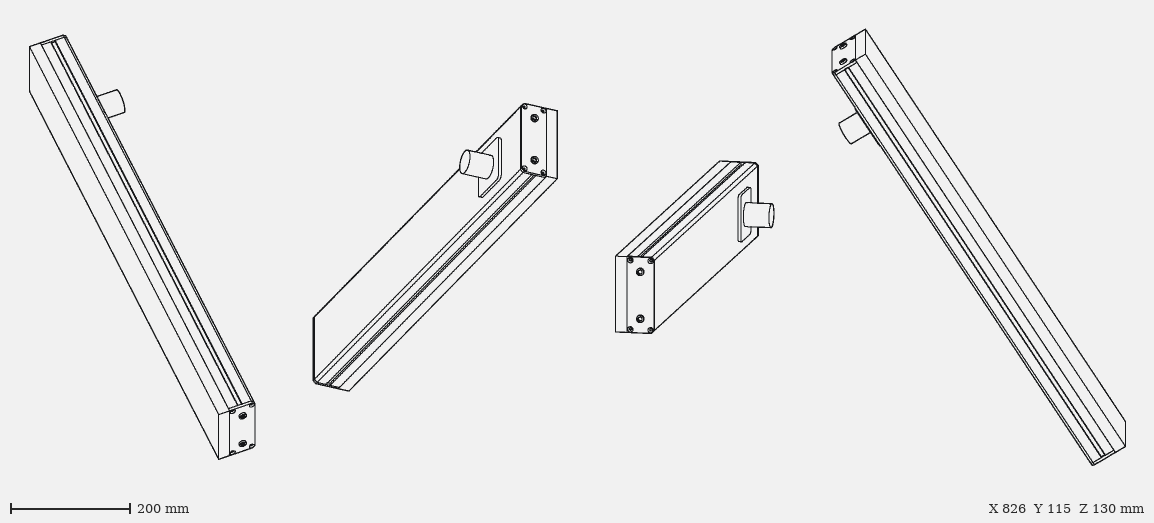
import cadquery as cq

OVERALL_LENGTH = 826.0
OVERALL_DEPTH = 115.0
HEIGHT = 130.0

HEAD_PROTRUSION = 3.0
HEAD_DIAMETER = 12.0
HEAD_SPACING = 80.0
SOCKET_ACROSS_CORNERS = 7.5
SOCKET_DEPTH = 2.5

PLATE_THICKNESS = 20.0
BODY_DEPTH = 46.0
CAP_THICKNESS = 5.0
BACK_CHAMFER = 5.0

GROOVE_FRONT_OFFSET = 17.0
GROOVE_WIDTH = 7.5
GROOVE_DEPTH = 4.0

CORNER_HOLE_INSET = 6.0
CORNER_HOLE_DIAMETER = 4.0
COUNTERSINK_DIAMETER = 9.0
COUNTERSINK_ANGLE = 90

FLANGE_SIZE = 80.0
FLANGE_THICKNESS = 5.0
FLANGE_CORNER_RADIUS = 8.0
SPIGOT_DIAMETER = 40.5
SPIGOT_INSET = 120.0

plate_length = OVERALL_LENGTH - 2 * HEAD_PROTRUSION
profile_length = plate_length - 2 * CAP_THICKNESS
body_back = PLATE_THICKNESS + BODY_DEPTH
body_mid = PLATE_THICKNESS + BODY_DEPTH / 2
flange_back = body_back + FLANGE_THICKNESS
spigot_x = SPIGOT_INSET - plate_length / 2


def block(length, depth, front):
    """Full-height block centred on X = 0 with its front face at Y = front."""
    return cq.Workplane("XY").box(length, depth, HEIGHT).translate((0, front + depth / 2, 0))


def chamfered_body(length):
    """Block behind the plate with its two long back edges chamfered."""
    return block(length, BODY_DEPTH, PLATE_THICKNESS).faces(">Y").edges("|X").chamfer(BACK_CHAMFER)


def make_cover_plate():
    return block(plate_length, PLATE_THICKNESS, 0)


def make_profile():
    """Long profile with one groove along its top and one along its bottom."""
    profile = chamfered_body(profile_length)
    groove_y = PLATE_THICKNESS + GROOVE_FRONT_OFFSET + GROOVE_WIDTH / 2
    for side in (-1, 1):
        groove_z = side * (HEIGHT - GROOVE_DEPTH) / 2
        groove = cq.Workplane("XY").box(profile_length, GROOVE_WIDTH, GROOVE_DEPTH)
        profile = profile.cut(groove.translate((0, groove_y, groove_z)))
    return profile


def make_end_cap(side):
    """End cap on the -X (side = -1) or +X (side = 1) end, with screw heads and corner countersinks."""
    cap = chamfered_body(CAP_THICKNESS)
    outer_face = cq.Plane(origin=(CAP_THICKNESS / 2, body_mid, 0), xDir=(0, 1, 0), normal=(1, 0, 0))

    corner_y = BODY_DEPTH - 2 * CORNER_HOLE_INSET
    corner_z = HEIGHT - 2 * CORNER_HOLE_INSET
    cap = (
        cap.faces(">X")
        .workplane(centerOption="CenterOfBoundBox")
        .rarray(corner_y, corner_z, 2, 2)
        .cskHole(CORNER_HOLE_DIAMETER, COUNTERSINK_DIAMETER, COUNTERSINK_ANGLE)
    )

    heads = (
        cq.Workplane(outer_face)
        .rarray(8, HEAD_SPACING, 1, 2)
        .circle(HEAD_DIAMETER / 2)
        .extrude(HEAD_PROTRUSION)
    )
    sockets = (
        cq.Workplane(outer_face.rotated((0, 0, 90)))
        .workplane(offset=HEAD_PROTRUSION)
        .rarray(HEAD_SPACING, 8, 2, 1)
        .polygon(6, SOCKET_ACROSS_CORNERS)
        .extrude(-SOCKET_DEPTH)
    )
    cap = cap.union(heads).cut(sockets)

    if side < 0:
        cap = cap.mirror("YZ")
    return cap.translate((side * (plate_length - CAP_THICKNESS) / 2, 0, 0))


def make_flanged_spigot():
    """Square flange with rounded corners on the back of the profile, carrying a round spigot."""
    flange = (
        cq.Workplane("XY")
        .box(FLANGE_SIZE, FLANGE_THICKNESS, FLANGE_SIZE)
        .edges("|Y")
        .fillet(FLANGE_CORNER_RADIUS)
        .translate((spigot_x, body_back + FLANGE_THICKNESS / 2, 0))
    )
    flange_face = cq.Plane(origin=(spigot_x, flange_back, 0), xDir=(0, 0, 1), normal=(0, 1, 0))
    spigot = cq.Workplane(flange_face).circle(SPIGOT_DIAMETER / 2).extrude(OVERALL_DEPTH - flange_back)
    return flange.union(spigot)


cover_plate = make_cover_plate()
profile = make_profile()
end_caps = [make_end_cap(side) for side in (-1, 1)]
flanged_spigot = make_flanged_spigot()

result = cq.Compound.makeCompound([
    cover_plate.val(),
    profile.val(),
    *[cap.val() for cap in end_caps],
    flanged_spigot.val(),
])